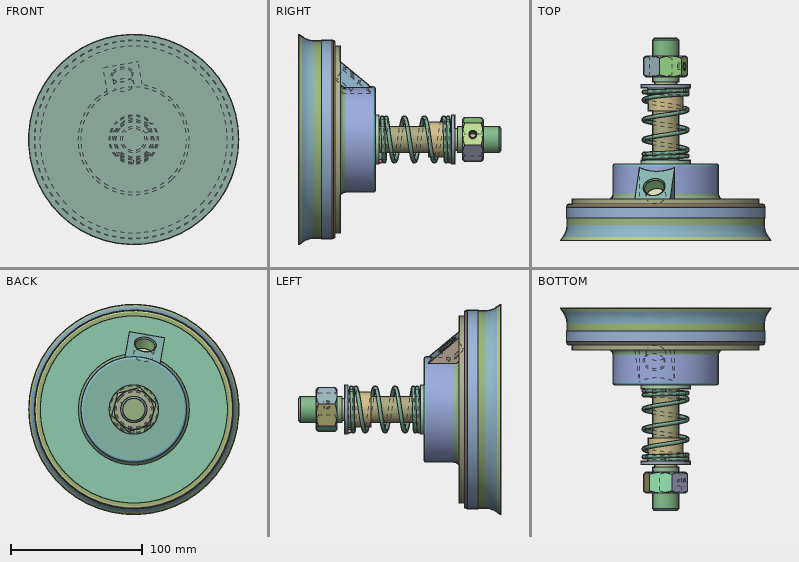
import cadquery as cq
import math

OVERALL_LENGTH = 153.6

LIP_RADIUS = 79.7
LIP_EDGE = 0.3
FLARE_RADIUS, FLARE_START = 78.2, 2.7
WALL_RADIUS, WALL_START = 75.0, 11.6
BAND_RADIUS, BAND_START, BAND_END = 75.5, 17.4, 25.4
CUP_TOP, CUP_ROUND = 27.8, 1.3
PLATE_RADIUS, PLATE_TOP = 71.0, 31.7

HUB_RADIUS, HUB_TOP = 40.0, 58.4
HUB_ROUND = 1.9
HUB_FOOT_RADIUS, HUB_FOOT_TOP = 42.1, 35.7

PORT_WIDTH = 27.1
PORT_TURN = 10.0
PORT_REACH = 57.5
PORT_SLOPE = 40.0
PORT_HOLE_DIAMETER, PORT_RIM_DIAMETER = 15.0, 16.9
PORT_HOLE_DEPTH, PORT_HOLE_HEIGHT = 10.5, 9.0

ROD_RADIUS, NECK_RADIUS = 20.0 / 2, 16.9 / 2
TIP_CHAMFER = ROD_RADIUS - NECK_RADIUS
WASHER_RADIUS, WASHER_THICKNESS = 37.5 / 2, 2.7
UPPER_WASHER_START = 116.0
NECK_END = 120.5
COLLAR_RADIUS, COLLAR_START = 26.6 / 2, 98.5
COLLAR_FLANGE_RADIUS, COLLAR_FLANGE_START = 27.5 / 2, 111.0

NUT_FLATS, NUT_START, NUT_HEIGHT = 30.0, 124.2, 16.0
NUT_TURN = 15.5
NUT_FACE_RADIUS, NUT_CHAMFER_ANGLE = 14.8, 35.0
NUT_BLANK_MARGIN = 1.6
NUT_HOLE_DIAMETER, NUT_RIM_DIAMETER = 5.0, 6.0

WIRE_RADIUS, COIL_RADIUS = 1.5, 16.5
SPRING_TURNS = 6.0
CLOSED_PITCH = 2.9
LOWER_CLOSED_TURNS, UPPER_CLOSED_TURNS = 1.6, 1.5
RAMP_TURNS = 0.24
SPRING_SEATING = 0.4
POINTS_PER_TURN = 16


def cylinder(radius, start, end):
    return cq.Workplane("XZ", origin=(0, start, 0)).circle(radius).extrude(start - end)


def make_cup():
    return (
        cq.Workplane("XY")
        .lineTo(0, PLATE_TOP)
        .lineTo(PLATE_RADIUS, PLATE_TOP)
        .lineTo(PLATE_RADIUS, CUP_TOP)
        .lineTo(WALL_RADIUS - CUP_ROUND, CUP_TOP)
        .tangentArcPoint((WALL_RADIUS, CUP_TOP - CUP_ROUND), relative=False)
        .lineTo(BAND_RADIUS, BAND_END)
        .lineTo(BAND_RADIUS, BAND_START)
        .lineTo(WALL_RADIUS, BAND_START)
        .lineTo(WALL_RADIUS, WALL_START)
        .tangentArcPoint((FLARE_RADIUS, FLARE_START), relative=False)
        .lineTo(LIP_RADIUS, LIP_EDGE)
        .lineTo(LIP_RADIUS, 0)
        .close()
        .revolve(360, (0, 0), (0, 1))
    )


def make_hub():
    return (
        cq.Workplane("XY")
        .moveTo(0, PLATE_TOP)
        .lineTo(0, HUB_TOP)
        .lineTo(HUB_RADIUS - HUB_ROUND, HUB_TOP)
        .tangentArcPoint((HUB_RADIUS, HUB_TOP - HUB_ROUND), relative=False)
        .lineTo(HUB_RADIUS, HUB_FOOT_TOP)
        .tangentArcPoint((HUB_FOOT_RADIUS, PLATE_TOP), relative=False)
        .close()
        .revolve(360, (0, 0), (0, 1))
    )


def rimmed_hole(plane, diameter, rim_diameter, depth):
    """Blind hole with a 45 degree countersunk rim, cut along -Z of the plane."""
    rim = (rim_diameter - diameter) / 2
    hole = cq.Workplane(plane).circle(diameter / 2).extrude(-depth)
    countersink = cq.Workplane(plane).circle(rim_diameter / 2).extrude(-rim, taper=45)
    return hole.union(countersink)


def turned_about_rod(shape, angle):
    return shape.rotate((0, 0, 0), (0, 1, 0), angle)


port_fall = math.tan(math.radians(PORT_SLOPE))


def make_port_block():
    slope_end = math.sqrt(HUB_RADIUS**2 - (PORT_WIDTH / 2) ** 2)
    slope_top = PLATE_TOP + (PORT_REACH - slope_end) / port_fall
    block = (
        cq.Workplane("YZ")
        .moveTo(PLATE_TOP, 0)
        .lineTo(PLATE_TOP, PORT_REACH)
        .lineTo(slope_top, slope_end)
        .lineTo(slope_top, 0)
        .close()
        .extrude(PORT_WIDTH / 2, both=True)
    )
    return turned_about_rod(block, -PORT_TURN)


def make_port_hole():
    slope = math.radians(PORT_SLOPE)
    face = cq.Plane(
        origin=(0, PLATE_TOP + PORT_HOLE_HEIGHT, PORT_REACH - PORT_HOLE_HEIGHT * port_fall),
        xDir=(1, 0, 0),
        normal=(0, math.sin(slope), math.cos(slope)),
    )
    hole = rimmed_hole(face, PORT_HOLE_DIAMETER, PORT_RIM_DIAMETER, PORT_HOLE_DEPTH)
    return turned_about_rod(hole, -PORT_TURN)


def make_rod():
    upper_washer_end = UPPER_WASHER_START + WASHER_THICKNESS
    tip = cylinder(ROD_RADIUS, NECK_END, OVERALL_LENGTH).faces(">Y").chamfer(TIP_CHAMFER)
    return (
        cylinder(ROD_RADIUS, HUB_TOP, UPPER_WASHER_START)
        .union(cylinder(WASHER_RADIUS, HUB_TOP, HUB_TOP + WASHER_THICKNESS))
        .union(cylinder(COLLAR_RADIUS, COLLAR_START, UPPER_WASHER_START))
        .union(cylinder(COLLAR_FLANGE_RADIUS, COLLAR_FLANGE_START, UPPER_WASHER_START))
        .union(cylinder(WASHER_RADIUS, UPPER_WASHER_START, upper_washer_end))
        .union(cylinder(NECK_RADIUS, upper_washer_end, NECK_END))
        .union(tip)
    )


def make_nut():
    corner_radius = NUT_FLATS / 2 / math.cos(math.pi / 6)
    nut_end = NUT_START + NUT_HEIGHT
    blank_radius = corner_radius + NUT_BLANK_MARGIN
    cone_height = (blank_radius - NUT_FACE_RADIUS) * math.tan(math.radians(NUT_CHAMFER_ANGLE))
    blank = (
        cq.Workplane("XY")
        .moveTo(0, NUT_START)
        .lineTo(NUT_FACE_RADIUS, NUT_START)
        .lineTo(blank_radius, NUT_START + cone_height)
        .lineTo(blank_radius, nut_end - cone_height)
        .lineTo(NUT_FACE_RADIUS, nut_end)
        .lineTo(0, nut_end)
        .close()
        .revolve(360, (0, 0), (0, 1))
    )
    nut = (
        cq.Workplane("XZ", origin=(0, NUT_START, 0))
        .transformed(rotate=(0, 0, 30))
        .polygon(6, 2 * corner_radius)
        .extrude(-NUT_HEIGHT)
        .intersect(blank)
    )
    flat = cq.Plane(
        origin=(NUT_FLATS / 2, NUT_START + NUT_HEIGHT / 2, 0), xDir=(0, 1, 0), normal=(1, 0, 0)
    )
    hole_depth = NUT_FLATS / 2 - ROD_RADIUS
    nut = nut.cut(rimmed_hole(flat, NUT_HOLE_DIAMETER, NUT_RIM_DIAMETER, hole_depth))
    return turned_about_rod(nut, -NUT_TURN)


def ramp_integral(turn, centre):
    """Integral over turns of a step from 0 to 1 softened into a linear ramp."""
    along = turn - (centre - RAMP_TURNS / 2)
    if along <= 0:
        return 0
    if along < RAMP_TURNS:
        return along**2 / (2 * RAMP_TURNS)
    return turn - centre


def make_spring():
    start = HUB_TOP + WASHER_THICKNESS + WIRE_RADIUS - SPRING_SEATING
    end = UPPER_WASHER_START - WIRE_RADIUS + SPRING_SEATING
    open_end = SPRING_TURNS - UPPER_CLOSED_TURNS
    extra_pitch = (end - start - CLOSED_PITCH * SPRING_TURNS) / (open_end - LOWER_CLOSED_TURNS)

    def coil_point(turn):
        opened = ramp_integral(turn, LOWER_CLOSED_TURNS) - ramp_integral(turn, open_end)
        angle = 2 * math.pi * turn
        return cq.Vector(
            -COIL_RADIUS * math.sin(angle),
            start + CLOSED_PITCH * turn + extra_pitch * opened,
            -COIL_RADIUS * math.cos(angle),
        )

    point_count = round(SPRING_TURNS * POINTS_PER_TURN)
    points = [coil_point(i / POINTS_PER_TURN) for i in range(point_count + 1)]
    path = cq.Workplane(cq.Edge.makeSpline(points))
    wire_end = cq.Plane(origin=points[0], xDir=(0, 1, 0), normal=points[1] - points[0])
    return cq.Workplane(wire_end).circle(WIRE_RADIUS).sweep(path, isFrenet=True)


body = make_cup().union(make_hub()).union(make_port_block()).cut(make_port_hole())
result = body.union(make_rod()).union(make_nut()).union(make_spring())